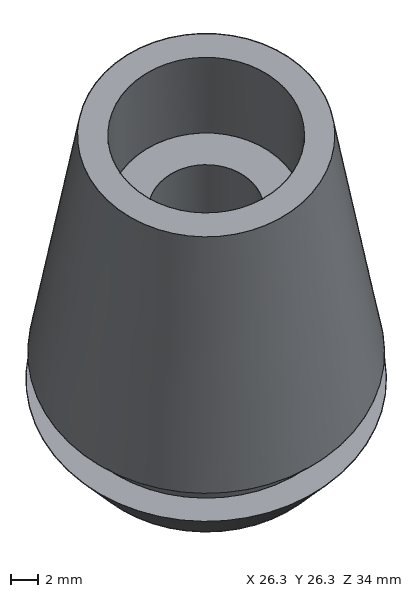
import cadquery as cq
import math

total_height = 34.0
head_height = 4.95
groove_top = 8.13

head_radius = 13.15
head_angle = 30.0
groove_radius = 11.0
top_radius = 9.4
taper_angle = 8.0

bore_radius = 7.17
bore_depth = 9.0
through_radius = 4.25

bottom_radius = head_radius - head_height * math.tan(math.radians(head_angle))
taper_length = total_height - groove_top
taper_base_radius = top_radius + taper_length * math.tan(math.radians(taper_angle))
bore_floor = total_height - bore_depth

half_section = [
    (through_radius, 0),
    (bottom_radius, 0),
    (head_radius, head_height),
    (groove_radius, head_height),
    (groove_radius, groove_top),
    (taper_base_radius, groove_top),
    (top_radius, total_height),
    (bore_radius, total_height),
    (bore_radius, bore_floor),
    (through_radius, bore_floor),
]

result = cq.Workplane("YZ").polyline(half_section).close().revolve(360, (0, 0), (0, 1))